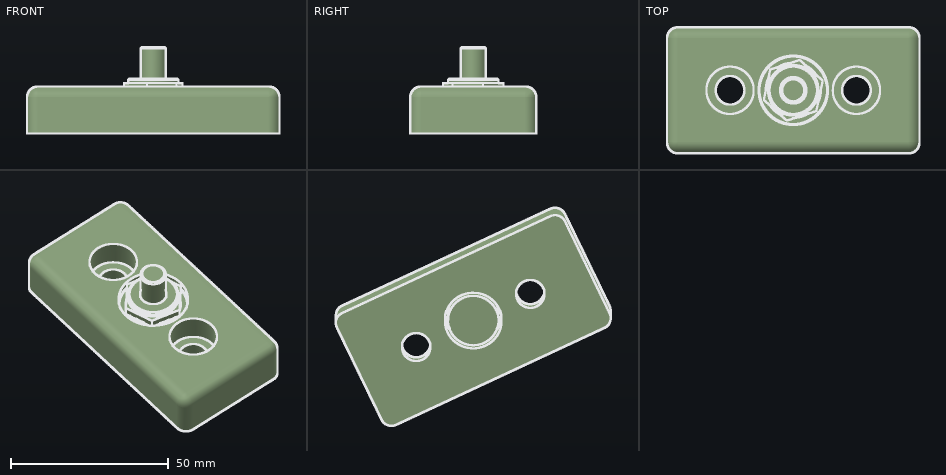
import cadquery as cq
import math

length = 80.0
width = 40.0
housing_height = 15.0
edge_radius = 3.5

mount_spacing = 40.0
mount_hole_diameter = 9.0
mount_bore_diameter = 15.0
mount_bore_depth = 9.0

pocket_diameter = 22.0
center_hole_diameter = 18.0

washer_bore_diameter = 17.52
washer_thickness = 2.5
washer_chamfer = 0.3

barrel_diameter = 16.0
hex_across_flats = 17.0
hex_thickness = 3.0
hex_angle = 18.0
barrel_above_hex = 1.5
hex_above_housing = 1.0
hex_to_washer_gap = 0.5
barrel_chamfer = 0.5

bead_section_diameter = 2.52
bead_ring_diameter = washer_bore_diameter - bead_section_diameter

pin_diameter = 8.0
pin_bore_diameter = 8.4
pin_bore_depth = 12.0
pin_above_barrel = 10.0
pin_chamfer = 0.5

hex_top = housing_height + hex_above_housing
hex_bottom = hex_top - hex_thickness
washer_top = hex_bottom - hex_to_washer_gap
pocket_floor = washer_top - washer_thickness
bead_level = pocket_floor + bead_section_diameter / 2
barrel_top = hex_top + barrel_above_hex
pin_bottom = barrel_top - pin_bore_depth
pin_top = barrel_top + pin_above_barrel


def cylinder(diameter, bottom, top):
    """Upright cylinder on the Z axis between two levels."""
    return cq.Workplane("XY").workplane(offset=bottom).circle(diameter / 2).extrude(top - bottom)


def make_housing():
    """Rounded block with two counterbored holes and a stepped centre hole."""
    block = cq.Workplane("XY").box(length, width, housing_height, centered=(True, True, False))
    block = block.edges("|Z or >Z").fillet(edge_radius)
    block = (
        block.faces(">Z").workplane(origin=(0, 0, housing_height))
        .pushPoints([(-mount_spacing / 2, 0), (mount_spacing / 2, 0)])
        .cboreHole(mount_hole_diameter, mount_bore_diameter, mount_bore_depth)
    )
    block = block.cut(cylinder(center_hole_diameter, 0, housing_height))
    return block.cut(cylinder(pocket_diameter, pocket_floor, housing_height))


def make_washer():
    """Flat ring filling the pocket, chamfered on its upper outer edge."""
    disc = cylinder(pocket_diameter, pocket_floor, washer_top)
    disc = disc.faces(">Z").edges().chamfer(washer_chamfer)
    return disc.cut(cylinder(washer_bore_diameter, pocket_floor, washer_top))


def make_barrel():
    """Round barrel with a hexagonal collar, a sealing bead and a blind bore for the pin."""
    barrel = cylinder(barrel_diameter, 0, barrel_top)
    barrel = barrel.faces(">Z").edges().chamfer(barrel_chamfer)
    corner_diameter = hex_across_flats / math.cos(math.pi / 6)
    collar = (
        cq.Workplane("XY").workplane(offset=hex_bottom)
        .polygon(6, corner_diameter)
        .extrude(hex_thickness)
        .rotate((0, 0, 0), (0, 0, 1), hex_angle)
    )
    bead = (
        cq.Workplane("XZ").center(bead_ring_diameter / 2, bead_level)
        .circle(bead_section_diameter / 2)
        .revolve(360, (-bead_ring_diameter / 2, 0), (-bead_ring_diameter / 2, 1))
    )
    pin_bore = cylinder(pin_bore_diameter, pin_bottom, barrel_top)
    return barrel.union(collar).union(bead).cut(pin_bore)


def make_pin():
    """Round pin standing on the floor of the barrel's bore."""
    pin = cylinder(pin_diameter, pin_bottom, pin_top)
    return pin.faces(">Z").edges().chamfer(pin_chamfer)


housing = make_housing()
washer = make_washer()
barrel = make_barrel()
pin = make_pin()

result = cq.Compound.makeCompound([housing.val(), washer.val(), barrel.val(), pin.val()])